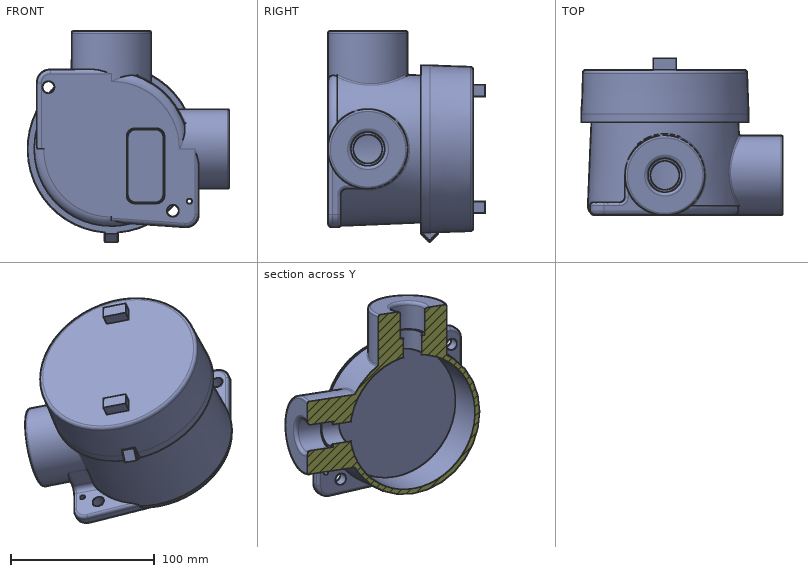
import cadquery as cq


overall_depth = 109.47
overall_height = 147.27
port_radius = 27.78
port_reach = 82.25
port_edge_round = 1.5
port_root_round = 1.2
bore_mouth_diameter = 28.5
bore_diameter = 23.5
bore_depth = 20.0
throat_diameter = 20.12

front_y = -port_radius
joint_y = 36.9
joint_radius = 102.74 / 2
front_radius = 54.0
front_round = 6.5
cavity_radius = 97.1 / 2
floor_thickness = front_radius - cavity_radius

upper_flange_reach = 55.4
upper_flange_side = 52.0
lower_flange_reach = 61.0
lower_flange_side = 55.3
lower_flange_side_at_axis = 51.0
flange_back_y = -18.8
flange_corner_radius = 9.3
flange_front_round = 3.0
flange_back_round = 2.2
web_half_width = port_radius
web_corner_radius = 4.0

mount_hole_diameter = 8.15
mount_hole_places = [(-43.8, 43.0), (42.8, -43.0)]
small_hole_diameter = 3.45
small_hole_place = (54.3, -36.4)

nameplate_center = (23.8, -11.8)
nameplate_width = 26.5
nameplate_height = 52.5
nameplate_corner_radius = 6.0
nameplate_depth = 1.0
nameplate_wall_taper = 45.0

cover_radius = 58.4
cover_back_radius = 57.3
cover_back_y = 73.5
cover_back_round = 2.4
taper_start_y = 43.0
grip_width = 16.2
grip_height = 8.3
grip_offset = 40.6
grip_end_y = front_y + overall_depth
latch_width = 9.8
latch_edge_chamfer = 0.8
latch_tip_z = port_reach - overall_height

mouth_round = (bore_mouth_diameter - bore_diameter) / 2
mirror_normal = (1, 0, -1)


def front_plane(y):
    """Sketch plane at depth y with local axes X, Z and its normal towards -Y."""
    return cq.Workplane(cq.Plane(origin=(0, y, 0), xDir=(1, 0, 0), normal=(0, -1, 0)))


def revolved(outline):
    """Solid of revolution about Y from (radius, y) points that start and end on the axis."""
    return cq.Workplane("XY").polyline(outline).close().revolve(360, (0, 0), (0, 1))


def swapped(shape):
    """Copy with X and Z exchanged: turns features of the +Z port into those of the +X port."""
    return shape.mirror(mirror_normal)


def box_between(low, high):
    size = [b - a for a, b in zip(low, high)]
    return cq.Workplane("XY").box(*size, centered=False).translate(low)


def make_barrel(barrel_front_y):
    """Solid cone frustum from the joint to a given front, on the housing's outer draft."""
    draft = (front_radius - joint_radius) / (joint_y - front_y)
    end_radius = joint_radius + draft * (joint_y - barrel_front_y)
    return revolved([(0, barrel_front_y), (end_radius, barrel_front_y), (joint_radius, joint_y), (0, joint_y)])


def make_port():
    port = cq.Workplane("XY").circle(port_radius).extrude(port_reach)
    return port.faces(">Z").edges().fillet(port_edge_round)


def make_body():
    """Barrel and both ports, blended at the port roots behind the rounded front rim."""
    port = make_port()
    ports = port.union(swapped(port))
    rounded_barrel = make_barrel(front_y).faces("<Y").edges().fillet(front_round)
    blended = make_barrel(front_y - port_radius).union(ports)
    blended = blended.edges("%BSPLINE").fillet(port_root_round)
    rim_y = front_y + front_round
    behind_rim = box_between((-port_reach, rim_y, -port_reach), (port_reach, joint_y, port_reach))
    return rounded_barrel.union(ports).union(blended.intersect(behind_rim))


def make_port_bore():
    throat = cq.Workplane("XY").circle(throat_diameter / 2).extrude(port_reach)
    bore_bottom = port_reach - bore_depth
    bore = (
        cq.Workplane("XZ")
        .moveTo(0, bore_bottom)
        .lineTo(bore_diameter / 2, bore_bottom)
        .lineTo(bore_diameter / 2, port_reach - mouth_round)
        .radiusArc((bore_mouth_diameter / 2, port_reach), mouth_round)
        .lineTo(0, port_reach)
        .close()
        .revolve(360, (0, 0), (0, 1))
    )
    return throat.union(bore)


def make_flange(reach, side, side_at_axis):
    """Corner flange and web beside the +Z port.

    reach: extent towards the port mouth; side: sideways extent at the far corner;
    side_at_axis: sideways extent level with the body axis.
    """
    outline = [(0, 0), (-side_at_axis, 0), (-side, reach), (0, reach)]
    plate = front_plane(flange_back_y).polyline(outline).close().extrude(flange_back_y - front_y)
    web = box_between((-web_half_width, flange_back_y, 0), (0, 0, reach))
    flange = plate.union(web)
    corner = cq.selectors.NearestToPointSelector((-side, (front_y + flange_back_y) / 2, reach))
    flange = flange.edges(corner).fillet(flange_corner_radius)
    inner = cq.selectors.NearestToPointSelector((-web_half_width, flange_back_y, reach / 2))
    flange = flange.edges(inner).fillet(web_corner_radius)
    flange = flange.faces("<Y").edges("(not >X) and (not <Z)").fillet(flange_front_round)
    back_edge = cq.selectors.NearestToPointSelector((-(side + web_half_width) / 2, flange_back_y, reach))
    return flange.edges(back_edge).fillet(flange_back_round)


def make_nameplate_recess():
    return (
        front_plane(front_y)
        .center(*nameplate_center)
        .sketch()
        .rect(nameplate_width, nameplate_height)
        .vertices()
        .fillet(nameplate_corner_radius)
        .finalize()
        .extrude(-nameplate_depth, taper=nameplate_wall_taper)
    )


def make_flange_holes():
    depth = front_y - flange_back_y
    front = front_plane(front_y)
    mounts = front.pushPoints(mount_hole_places).circle(mount_hole_diameter / 2).extrude(depth)
    small = front.pushPoints([small_hole_place]).circle(small_hole_diameter / 2).extrude(depth)
    return mounts.union(small)


def make_housing():
    bore = make_port_bore()
    cavity_floor_y = front_y + floor_thickness
    cavity = front_plane(joint_y).circle(cavity_radius).extrude(joint_y - cavity_floor_y)
    upper_flange = make_flange(upper_flange_reach, upper_flange_side, upper_flange_side)
    lower_flange = swapped(make_flange(lower_flange_reach, lower_flange_side, lower_flange_side_at_axis))
    housing = make_body().union(upper_flange).union(lower_flange)
    housing = housing.cut(cavity).cut(bore).cut(swapped(bore))
    return housing.cut(make_flange_holes()).cut(make_nameplate_recess())


def make_latch():
    """Triangular rib under the cover, with its tip where the cover's taper starts."""
    half_base = taper_start_y - joint_y
    base_z = latch_tip_z + half_base
    outline = [
        (joint_y, 0),
        (joint_y, base_z),
        (taper_start_y, latch_tip_z),
        (taper_start_y + half_base, base_z),
        (taper_start_y + half_base, 0),
    ]
    latch = cq.Workplane("YZ").polyline(outline).close().extrude(latch_width / 2, both=True)
    sloped_edges = latch.edges("not (|X or |Y or |Z)")
    return sloped_edges.chamfer(latch_edge_chamfer)


def make_cover():
    cover = revolved([
        (0, joint_y),
        (cover_radius, joint_y),
        (cover_radius, taper_start_y),
        (cover_back_radius, cover_back_y),
        (0, cover_back_y),
    ])
    cover = cover.faces(">Y").edges().fillet(cover_back_round)
    for side in (-1, 1):
        grip_z = side * grip_offset
        low = (-grip_width / 2, taper_start_y, grip_z - grip_height / 2)
        high = (grip_width / 2, grip_end_y, grip_z + grip_height / 2)
        cover = cover.union(box_between(low, high))
    return cover.union(make_latch())


housing = make_housing()
cover = make_cover()
result = cq.Compound.makeCompound([housing.val(), cover.val()])